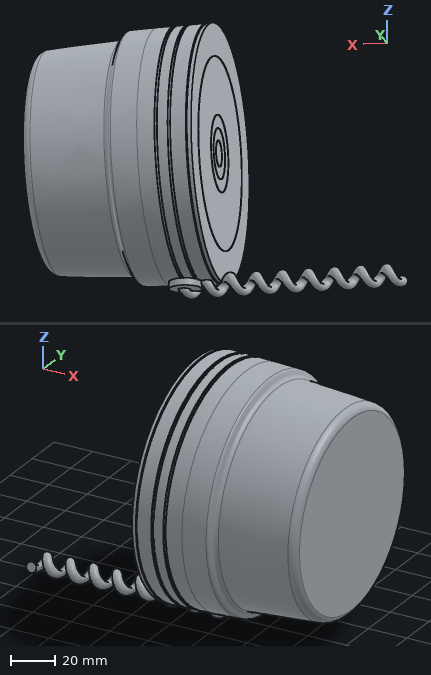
import cadquery as cq

rim_radius = 59.3
flange_bend_x = 25.4
flange_bend_radius = 58.6
flange_end_x = 37.7
flange_end_radius = 58.1
step_middle_x = 39.4
step_middle_radius = 56.0
cup_start_x = 41.7
cup_start_radius = 54.0
cup_end_x = 76.4
cup_end_radius = 51.5
cup_bulge = 0.2
housing_length = 80.4
back_radius = 47.8

groove_starts = [9.8, 16.0]
groove_width = 1.2
groove_floor_radius = 58.5
rim_line_x = 2.0
rim_line_width = 0.5
rim_line_floor_radius = 59.1

face_step_radii = [44.2, 17.6, 11.6, 6.0]
face_step_depth = 0.2

coil_axis_y = -3.2
coil_axis_z = -60.6
coil_radius = 3.2
wire_radius = 2.7
wire_tilt = 27
coil_length = 100.1
coil_turns = 8.3
coil_start_angle = -41
tip_x = housing_length - 166
button_radius = 7.5
button_height = 3.3
button_x = 16.1
button_y = 0


def housing_blank():
    """Revolve the outer outline, drawn as (x, radius), about the X axis."""
    flange_slope = (flange_end_x - flange_bend_x, flange_end_radius - flange_bend_radius)
    cup_slope = (cup_end_x - cup_start_x, cup_end_radius - cup_start_radius)
    cup_middle = ((cup_start_x + cup_end_x) / 2, (cup_start_radius + cup_end_radius) / 2 + cup_bulge)
    return (
        cq.Workplane("XY")
        .lineTo(0, rim_radius)
        .lineTo(rim_line_x + rim_line_width, rim_radius)
        .lineTo(flange_bend_x, flange_bend_radius)
        .lineTo(flange_end_x, flange_end_radius)
        .spline(
            [(step_middle_x, step_middle_radius), (cup_start_x, cup_start_radius)],
            tangents=[flange_slope, cup_slope],
            includeCurrent=True,
        )
        .threePointArc(cup_middle, (cup_end_x, cup_end_radius))
        .tangentArcPoint((housing_length, back_radius), relative=False)
        .lineTo(housing_length, 0)
        .close()
        .revolve(360, (0, 0, 0), (1, 0, 0))
    )


def ring_groove(start_x, width, floor_radius):
    """Ring that cuts a square groove down to the floor radius."""
    outer_radius = rim_radius + 1.7
    return (
        cq.Workplane("YZ", origin=(start_x, 0, 0))
        .circle(outer_radius)
        .circle(floor_radius)
        .extrude(width)
    )


def build_housing():
    body = housing_blank()
    body = body.cut(ring_groove(rim_line_x, rim_line_width, rim_line_floor_radius))
    for start_x in groove_starts:
        body = body.cut(ring_groove(start_x, groove_width, groove_floor_radius))
    for level, radius in enumerate(face_step_radii, start=1):
        body = body.cut(cq.Workplane("YZ").circle(radius).extrude(level * face_step_depth))
    return body


def build_coil():
    """Wire swept along a helix about +Z, then turned so the helix runs along +X."""
    path = cq.Wire.makeHelix(coil_length / coil_turns, coil_length, coil_radius)
    wire = (
        cq.Workplane("XZ", origin=(coil_radius, 0, 0))
        .transformed(rotate=(0, wire_tilt, 0))
        .circle(wire_radius)
        .sweep(cq.Workplane(obj=path), isFrenet=True)
    )
    return (
        wire.rotate((0, 0, 0), (0, 1, 0), 90)
        .rotate((0, 0, 0), (1, 0, 0), coil_start_angle)
        .translate((tip_x + wire_radius, coil_axis_y, coil_axis_z))
    )


def build_button():
    bottom_z = coil_axis_z - button_height / 2
    return (
        cq.Workplane("XY", origin=(button_x, button_y, bottom_z))
        .circle(button_radius)
        .extrude(button_height)
    )


corkscrew = build_coil().union(build_button())
housing = build_housing().cut(corkscrew)

result = cq.Compound.makeCompound([housing.solids().val(), corkscrew.solids().val()])